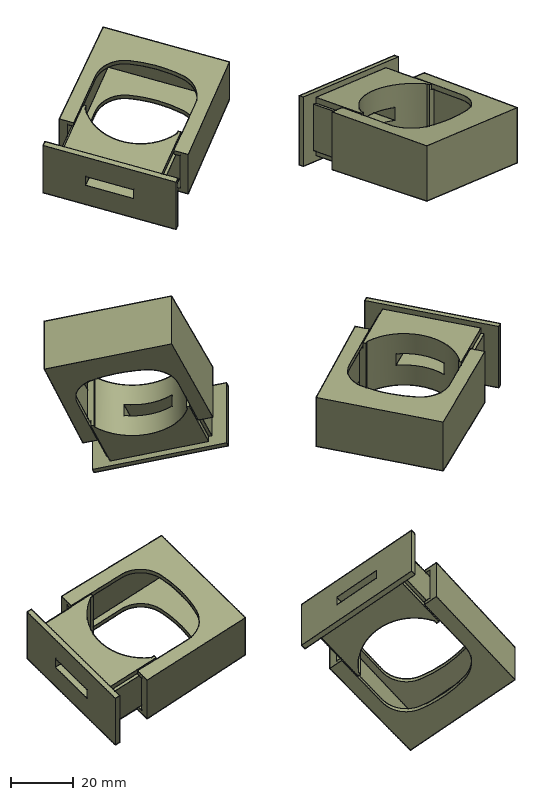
import cadquery as cq
import math

length = 54.0
front_y = -length / 2
back_y = length / 2
cut_margin = 2.7

housing_front_y = -13.5
housing_front_width = 43.6
housing_front_height = 20.0
housing_taper = 0.85
housing_back_width = housing_front_width - housing_taper
housing_back_height = housing_front_height - housing_taper
cavity_width = 38.1
lip_thickness = 1.8
back_wall = 1.8

window_width = 33.8
window_end_y = 17.65
window_end_radius = 42.1
window_corner_radius = 10.0

plate_width = 45.0
plate_height = 24.0
plate_thickness = 1.8
drawer_back_y = -5.55
drawer_width = 35.2
drawer_height = 20.1
tongue_width = 33.05
shoulder_height = 16.05
scoop_radius = 18.0
scoop_bottom_y = -15.5
scoop_mouth_width = 31.0
slot_width = 16.15
slot_height = 4.45


def tapered_block(front_width, front_height, rear_width, rear_height, y_start, y_end):
    """Loft between two centred rectangles that lie across the Y axis."""
    return (
        cq.Workplane("XZ", origin=(0, y_start, 0))
        .rect(front_width, front_height)
        .workplane(offset=y_start - y_end)
        .rect(rear_width, rear_height)
        .loft(ruled=True)
    )


def box_between(width, height, y_start, y_end):
    """Box centred on X and Z that spans the given Y range."""
    return cq.Workplane("XY").box(width, y_end - y_start, height).translate((0, (y_start + y_end) / 2, 0))


def make_window():
    """Window open at the front, with a shallow end arc and tangent corner arcs."""
    half_width = window_width / 2
    end_center_y = window_end_y - window_end_radius
    corner_x = half_width - window_corner_radius
    center_distance = window_end_radius - window_corner_radius
    corner_y = end_center_y + math.sqrt(center_distance**2 - corner_x**2)
    end_angle = math.atan2(corner_y - end_center_y, corner_x)
    tangent_x = corner_x + window_corner_radius * math.cos(end_angle)
    tangent_y = corner_y + window_corner_radius * math.sin(end_angle)
    middle_x = corner_x + window_corner_radius * math.cos(end_angle / 2)
    middle_y = corner_y + window_corner_radius * math.sin(end_angle / 2)
    open_y = housing_front_y - cut_margin
    return (
        cq.Workplane("XY")
        .moveTo(-half_width, open_y)
        .lineTo(half_width, open_y)
        .lineTo(half_width, corner_y)
        .threePointArc((middle_x, middle_y), (tangent_x, tangent_y))
        .threePointArc((0, window_end_y), (-tangent_x, tangent_y))
        .threePointArc((-middle_x, middle_y), (-half_width, corner_y))
        .close()
        .extrude(housing_front_height, both=True)
    )


def make_housing():
    outside = tapered_block(
        housing_front_width, housing_front_height,
        housing_back_width, housing_back_height,
        housing_front_y, back_y,
    )
    cavity = tapered_block(
        cavity_width, housing_front_height - 2 * lip_thickness,
        cavity_width, housing_back_height - 2 * lip_thickness,
        housing_front_y, back_y - back_wall,
    )
    return outside.cut(cavity).cut(make_window())


def make_scoop():
    """Round scoop in the back of the drawer, with straight sides at its mouth."""
    half_mouth = scoop_mouth_width / 2
    arc_center_y = scoop_bottom_y + scoop_radius
    arc_end_y = arc_center_y - math.sqrt(scoop_radius**2 - half_mouth**2)
    open_y = drawer_back_y + cut_margin
    return (
        cq.Workplane("XY")
        .moveTo(-half_mouth, open_y)
        .lineTo(-half_mouth, arc_end_y)
        .threePointArc((0, scoop_bottom_y), (half_mouth, arc_end_y))
        .lineTo(half_mouth, open_y)
        .close()
        .extrude(drawer_height, both=True)
    )


def make_drawer():
    plate_back_y = front_y + plate_thickness
    plate = box_between(plate_width, plate_height, front_y, plate_back_y)
    tongues = box_between(tongue_width, drawer_height, plate_back_y, drawer_back_y)
    shoulders = box_between(drawer_width, shoulder_height, plate_back_y, drawer_back_y)
    slot = box_between(slot_width, slot_height, front_y - cut_margin, drawer_back_y)
    return plate.union(tongues).union(shoulders).cut(make_scoop()).cut(slot)


housing = make_housing()
drawer = make_drawer()

result = cq.Compound.makeCompound([*housing.solids().vals(), *drawer.solids().vals()])